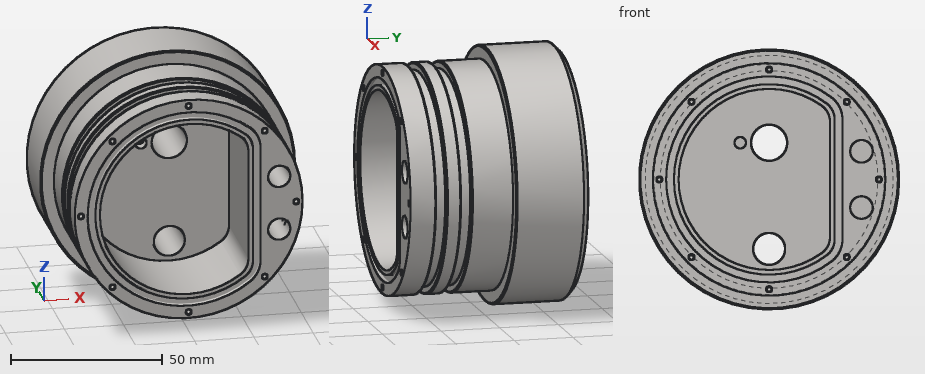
import cadquery as cq
import math

length = 60.0
flange_radius = 43.05
flange_front = 34.95
flange_back_chamfer = 2.0
flange_front_chamfer = 0.4
barrel_radius = 77.0 / 2

ring_groove_radius = 72.1 / 2
ring_groove_spans = [(8.8, 12.4), (17.3, 20.9)]
ring_edge_chamfer = 0.35

pocket_radius = 30.0
pocket_flat_x = 20.15
pocket_corner_radius = 6.55
pocket_depth = 32.55

seal_inner_gap = 1.55
seal_width = 2.6
seal_depth = 1.5
seal_bottom_fillet = 0.3
seal_inner_corner_radius = 6.55

upper_port_diameter = 11.9
upper_port_z = 12.1
lower_port_diameter = 10.5
lower_port_z = -23.0
pin_hole_diameter = 3.8
pin_hole_x = -9.6
pin_hole_depth = 4.3
side_hole_diameter = 7.5
side_hole_x = 30.6
side_hole_z = 9.3
side_hole_depth = 49.9
screw_count = 8
screw_circle_radius = 36.3
screw_hole_diameter = 1.6
screw_hole_depth = 5.2
screw_countersink = 0.2
screw_tip_length = 0.5


def plane_at(y):
    """Plane facing -Y at depth y, with local x = +X and local y = +Z."""
    return cq.Workplane("XZ", origin=(0, y, 0))


def hole(x, z, diameter, start, depth):
    """Round cutter running in +Y from y = start."""
    return plane_at(start).center(x, z).circle(diameter / 2).extrude(-depth)


def d_prism(offset, corner_radius, start, depth):
    """D-shaped prism, its arc and flat grown by offset from the pocket outline."""
    radius = pocket_radius + offset
    flat_x = pocket_flat_x + offset
    corner_z = math.sqrt(radius**2 - flat_x**2)
    return (
        plane_at(start)
        .moveTo(flat_x, -corner_z)
        .lineTo(flat_x, corner_z)
        .threePointArc((-radius, 0), (flat_x, -corner_z))
        .close()
        .extrude(-depth)
        .edges("|Y")
        .fillet(corner_radius)
    )


def turned_body():
    """Outer profile in (radius, y), revolved about the Y axis."""
    profile = [(0, 0), (barrel_radius, 0)]
    for near, far in ring_groove_spans:
        profile += [
            (barrel_radius, near - ring_edge_chamfer),
            (barrel_radius - ring_edge_chamfer, near),
            (ring_groove_radius, near),
            (ring_groove_radius, far),
            (barrel_radius - ring_edge_chamfer, far),
            (barrel_radius, far + ring_edge_chamfer),
        ]
    profile += [
        (barrel_radius, flange_front),
        (flange_radius - flange_front_chamfer, flange_front),
        (flange_radius, flange_front + flange_front_chamfer),
        (flange_radius, length - flange_back_chamfer),
        (flange_radius - flange_back_chamfer, length),
        (0, length),
    ]
    return cq.Workplane("XY").polyline(profile).close().revolve(360, (0, 0), (0, 1))


def seal_groove():
    """Groove cutter with filleted bottom edges."""
    outer_offset = seal_inner_gap + seal_width
    outer_corner_radius = seal_inner_corner_radius + seal_width
    outer = d_prism(outer_offset, outer_corner_radius, 0, seal_depth)
    island = d_prism(seal_inner_gap, seal_inner_corner_radius, 0, seal_depth)
    return outer.cut(island).faces(">Y").edges().fillet(seal_bottom_fillet)


def cone(x, y, z, near_radius, far_radius, height):
    """Conical cutter running in +Y from its centre (x, y, z)."""
    solid = cq.Solid.makeCone(near_radius, far_radius, height, cq.Vector(x, y, z), cq.Vector(0, 1, 0))
    return cq.Workplane(solid)


def screw_hole(angle):
    """Blind screw hole with a 45 degree countersink and a conical drill tip."""
    x = screw_circle_radius * math.cos(angle)
    z = screw_circle_radius * math.sin(angle)
    radius = screw_hole_diameter / 2
    mouth = cone(x, 0, z, radius + screw_countersink, radius, screw_countersink)
    tip = cone(x, screw_hole_depth, z, radius, 0, screw_tip_length)
    return hole(x, z, screw_hole_diameter, 0, screw_hole_depth).union(mouth).union(tip)


result = turned_body().cut(d_prism(0, pocket_corner_radius, 0, pocket_depth)).cut(seal_groove())

result = result.cut(hole(0, upper_port_z, upper_port_diameter, 0, length))
result = result.cut(hole(0, lower_port_z, lower_port_diameter, 0, length))
result = result.cut(hole(pin_hole_x, upper_port_z, pin_hole_diameter, pocket_depth, pin_hole_depth))

for z in (-side_hole_z, side_hole_z):
    result = result.cut(hole(side_hole_x, z, side_hole_diameter, 0, side_hole_depth))

for index in range(screw_count):
    result = result.cut(screw_hole(2 * math.pi * index / screw_count))